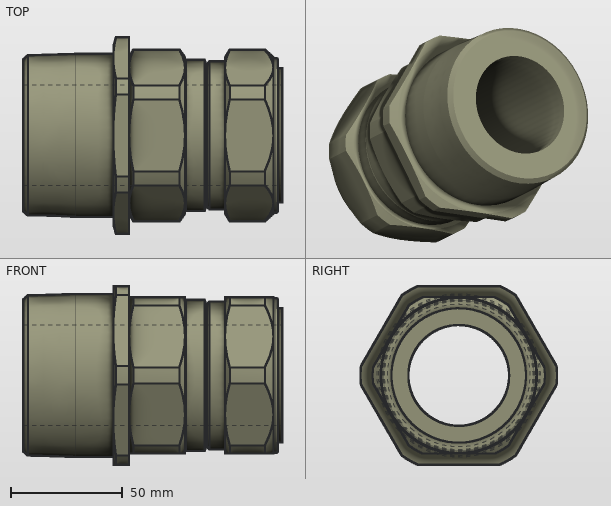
import cadquery as cq
import math

ENTRY_CHAMFER_END = 2.1
TAPER_END = 23.3
FLANGE_START = 40.3
FLANGE_END = 47.4
BODY_HEX_END = 72.35
COLLAR_END = 81.1
GROOVE_FLOOR_START = 81.8
GROOVE_FLOOR_END = 82.2
NECK_START = 83.4
NUT_START = 90.3
NUT_HEX_END = 111.9
NUT_END = 113.9
TOTAL_LENGTH = 115.9

ENTRY_RADIUS = 34.0
TAPER_START_RADIUS = 35.9
SPIGOT_RADIUS = 36.55
COLLAR_RADIUS = 33.9
COLLAR_CHAMFER = 0.4
GROOVE_RADIUS = 31.9
NECK_RADIUS = 33.2
NUT_RIM_RADIUS = 34.7
NUT_RIM_FILLET = 1.0
END_RING_RADIUS = 30.1
BORE_RADIUS = 22.5

FLANGE_FLATS = 80.0
FLANGE_CORNER_RADIUS = 44.0
NUT_FLATS = 70.0
NUT_CORNER_RADIUS = 38.5

FLANGE_CHAMFER = 1.2
BODY_FRONT_CHAMFER = 1.9
BODY_BACK_CHAMFER = 2.5
NUT_FRONT_CHAMFER = 2.1
NUT_BACK_CHAMFER = 3.85


def revolve_about_x(points):
    """Turn a closed (x, radius) outline around the X axis."""
    return cq.Workplane("XY").polyline(points).close().revolve(360, (0, 0, 0), (1, 0, 0))


def chamfered_hex(start, end, flats, corner_radius, front_chamfer, back_chamfer):
    """Hexagon with flats facing +Z and -Z, its corners turned down and coned at the ends."""
    corner_diameter = flats / math.cos(math.pi / 6)
    face_radius = flats / 2
    prism = cq.Workplane("YZ").workplane(offset=start).polygon(6, corner_diameter).extrude(end - start)
    outline = [(start, 0)]
    if front_chamfer:
        outline.append((start, face_radius))
    outline.append((start + front_chamfer, corner_radius))
    outline.append((end - back_chamfer, corner_radius))
    if back_chamfer:
        outline.append((end, face_radius))
    outline.append((end, 0))
    return prism.intersect(revolve_about_x(outline))


def turned_core():
    """Round sections: tapered spigot, collar, groove, neck and end ring, without the nut rim."""
    return revolve_about_x([
        (0, 0),
        (0, ENTRY_RADIUS),
        (ENTRY_CHAMFER_END, TAPER_START_RADIUS),
        (TAPER_END, SPIGOT_RADIUS),
        (FLANGE_END, SPIGOT_RADIUS),
        (FLANGE_END, COLLAR_RADIUS - COLLAR_CHAMFER),
        (BODY_HEX_END, COLLAR_RADIUS - COLLAR_CHAMFER),
        (BODY_HEX_END + COLLAR_CHAMFER, COLLAR_RADIUS),
        (COLLAR_END, COLLAR_RADIUS),
        (GROOVE_FLOOR_START, GROOVE_RADIUS),
        (GROOVE_FLOOR_END, GROOVE_RADIUS),
        (NECK_START, NECK_RADIUS),
        (NUT_START, NECK_RADIUS),
        (NUT_START, END_RING_RADIUS),
        (TOTAL_LENGTH, END_RING_RADIUS),
        (TOTAL_LENGTH, 0),
    ])


def nut_rim():
    """Round core of the nut, reaching past its hexagon to a rounded end edge."""
    blank = cq.Workplane("YZ").workplane(offset=NUT_START).circle(NUT_RIM_RADIUS).extrude(NUT_END - NUT_START)
    return blank.faces(">X").edges().fillet(NUT_RIM_FILLET)


flange = chamfered_hex(FLANGE_START, FLANGE_END, FLANGE_FLATS, FLANGE_CORNER_RADIUS, FLANGE_CHAMFER, 0)
body_hex = chamfered_hex(
    FLANGE_END, BODY_HEX_END, NUT_FLATS, NUT_CORNER_RADIUS, BODY_FRONT_CHAMFER, BODY_BACK_CHAMFER
)
nut_hex = chamfered_hex(
    NUT_START, NUT_HEX_END, NUT_FLATS, NUT_CORNER_RADIUS, NUT_FRONT_CHAMFER, NUT_BACK_CHAMFER
)
bore = cq.Workplane("YZ").circle(BORE_RADIUS).extrude(TOTAL_LENGTH)

result = turned_core().union(flange).union(body_hex).union(nut_hex).union(nut_rim()).cut(bore)